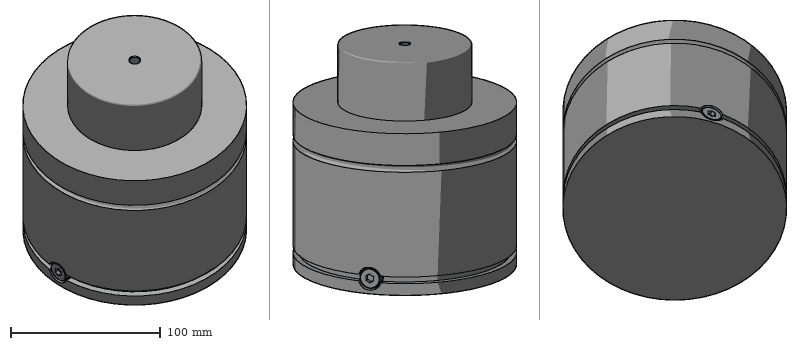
import cadquery as cq
import math

total_height = 154.0
body_diameter = 150.0
body_height = 113.0
rod_diameter = 90.0
rod_edge_radius = 1.1

round_groove_bottom = 86.1
round_groove_width = 4.6
round_groove_depth = 2.8

square_groove_bottom = 8.3
square_groove_width = 4.6
square_groove_depth = 4.2

plug_height = square_groove_bottom + square_groove_width / 2
bore_diameter = 16.0
bore_depth = 5.4
plug_diameter = 14.0
plug_recess = 0.6
plug_chamfer = 0.5
hex_across_corners = 6.0
hex_depth = 3.1

hole_diameter = 6.8
hole_mouth_diameter = 7.9
hole_depth = 15.4
drill_point_angle = 118.0

body_radius = body_diameter / 2
hole_radius = hole_diameter / 2


def make_body():
    body = cq.Workplane("XY").circle(body_radius).extrude(body_height)
    rod = cq.Workplane("XY").circle(rod_diameter / 2).extrude(total_height)
    return body.union(rod.faces(">Z").edges().fillet(rod_edge_radius))


def make_round_groove():
    middle = round_groove_bottom + round_groove_width / 2
    top = round_groove_bottom + round_groove_width
    return (
        cq.Workplane("XZ")
        .moveTo(body_radius, round_groove_bottom)
        .threePointArc((body_radius - round_groove_depth, middle), (body_radius, top))
        .close()
        .revolve(360, (0, 0, 0), (0, 1, 0))
    )


def make_square_groove():
    return (
        cq.Workplane("XY", origin=(0, 0, square_groove_bottom))
        .circle(body_radius)
        .circle(body_radius - square_groove_depth)
        .extrude(square_groove_width)
    )


def make_rod_hole():
    mouth_radius = hole_mouth_diameter / 2
    mouth_depth = mouth_radius - hole_radius
    point_depth = hole_radius / math.tan(math.radians(drill_point_angle / 2))
    floor = total_height - hole_depth
    return (
        cq.Workplane("XZ")
        .moveTo(0, total_height)
        .lineTo(mouth_radius, total_height)
        .lineTo(hole_radius, total_height - mouth_depth)
        .lineTo(hole_radius, floor)
        .lineTo(0, floor - point_depth)
        .close()
        .revolve(360, (0, 0, 0), (0, 1, 0))
    )


def make_plug_bore():
    bore_floor = cq.Workplane("XZ", origin=(0, bore_depth - body_radius, plug_height))
    return bore_floor.circle(bore_diameter / 2).extrude(bore_depth)


def make_plug():
    bore_floor = cq.Workplane("XZ", origin=(0, bore_depth - body_radius, plug_height))
    plug = bore_floor.circle(plug_diameter / 2).extrude(bore_depth - plug_recess)
    plug = plug.faces("<Y").chamfer(plug_chamfer)
    socket = (
        cq.Workplane("XZ", origin=(0, plug_recess - body_radius, plug_height))
        .transformed(rotate=(0, 0, 90))
        .polygon(6, hex_across_corners)
        .extrude(-hex_depth)
    )
    return plug.cut(socket)


result = (
    make_body()
    .cut(make_round_groove())
    .cut(make_square_groove())
    .cut(make_rod_hole())
    .cut(make_plug_bore())
    .union(make_plug())
)